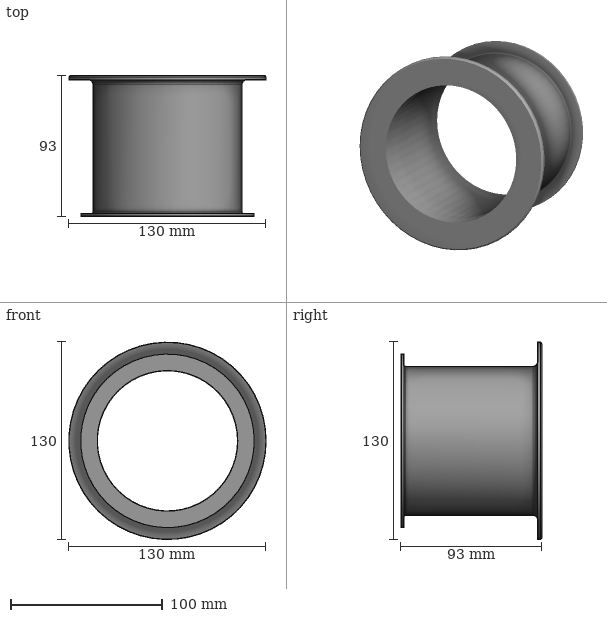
import cadquery as cq

length = 93.0
bore_diameter = 92.3
wall = 3.0
tube_diameter = bore_diameter + 2 * wall

front_flange_diameter = 114.3
front_flange_thickness = 2.0
front_root_fillet = 1.0

back_flange_diameter = 130.0
back_flange_thickness = wall
back_root_fillet = wall
back_rim_chamfer = 1.0

front_y = -length / 2
back_y = length / 2


def disc(diameter, start_y, thickness):
    """Solid cylinder along +Y starting at start_y."""
    plane = cq.Workplane("XZ", origin=(0, start_y, 0))
    return plane.circle(diameter / 2).extrude(-thickness)


def circle_edge(diameter, y):
    """Selector box that encloses only the circular edge of this diameter at y."""
    margin = 0.1
    reach = diameter / 2 + margin
    return cq.selectors.BoxSelector(
        (-reach, y - margin, -reach), (reach, y + margin, reach), boundingbox=True
    )


body = disc(tube_diameter, front_y, length)
body = body.union(disc(front_flange_diameter, front_y, front_flange_thickness))
back_flange_y = back_y - back_flange_thickness
body = body.union(disc(back_flange_diameter, back_flange_y, back_flange_thickness))

front_root_y = front_y + front_flange_thickness
body = body.edges(circle_edge(tube_diameter, front_root_y)).fillet(front_root_fillet)
body = body.edges(circle_edge(tube_diameter, back_flange_y)).fillet(back_root_fillet)

body = body.edges(circle_edge(back_flange_diameter, back_y)).chamfer(back_rim_chamfer)

result = body.cut(disc(bore_diameter, front_y, length))